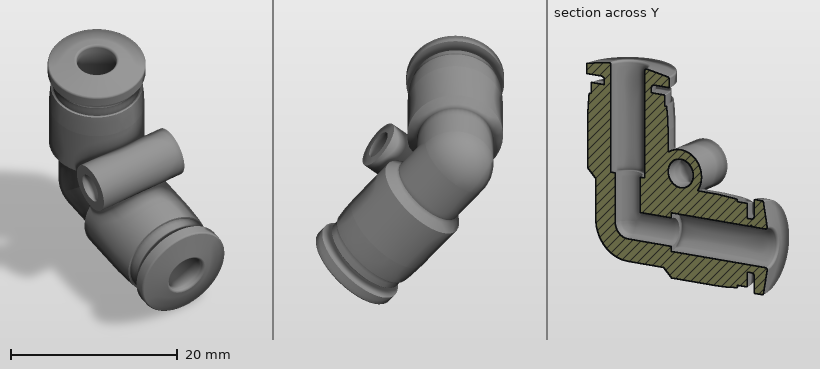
import cadquery as cq
import math

overall_length = 25.75
button_diameter = 11.8
arm_length = overall_length - button_diameter / 2

elbow_diameter = 9.22
sleeve_diameter = 11.5
shoulder_start = 5.07
shoulder_end = shoulder_start + (sleeve_diameter - elbow_diameter) / 2
taper_start = 12.65
taper_end = 15.6
taper_end_diameter = 11.07
ring_diameter = 10.5
ring_end = 17.0
ring_chamfer = 0.08

neck_diameter = 6.77
neck_fillet = 0.35
button_start = 17.95
button_edge_start = 19.08
button_edge_end = 19.3
button_edge_inset = 0.15
mouth_diameter = 5.35

tube_diameter = 4.76
tube_stop = shoulder_end
bore_diameter = 3.5

eye_diameter = 6.0
eye_hole_diameter = 3.5
eye_offset = 7.52
web_width = 4.69


def both_arms(vertical):
    """Join a shape on the Z axis with its mirror image on the X axis."""
    horizontal = vertical.rotate((0, 0, 0), (0, 1, 0), 90)
    return vertical.union(horizontal)


def arm_body():
    """Solid of revolution about Z, from the elbow centre to the button face."""
    elbow_r = elbow_diameter / 2
    sleeve_r = sleeve_diameter / 2
    ring_r = ring_diameter / 2
    neck_r = neck_diameter / 2
    button_r = button_diameter / 2
    mouth_r = mouth_diameter / 2
    fillet_reach = neck_fillet * (1 - math.sqrt(0.5))
    return (
        cq.Workplane("XZ")
        .lineTo(elbow_r, 0)
        .lineTo(elbow_r, shoulder_start)
        .lineTo(sleeve_r, shoulder_end)
        .lineTo(sleeve_r, taper_start)
        .tangentArcPoint((taper_end_diameter / 2, taper_end), relative=False)
        .lineTo(ring_r, taper_end)
        .lineTo(ring_r, ring_end - ring_chamfer)
        .lineTo(ring_r - ring_chamfer, ring_end)
        .lineTo(neck_r, ring_end)
        .lineTo(neck_r, button_start - neck_fillet)
        .threePointArc(
            (neck_r + fillet_reach, button_start - fillet_reach),
            (neck_r + neck_fillet, button_start),
        )
        .lineTo(button_r, button_start)
        .lineTo(button_r, button_edge_start)
        .tangentArcPoint((button_r - button_edge_inset, button_edge_end), relative=False)
        .lineTo(mouth_r, arm_length)
        .lineTo(0, arm_length)
        .close()
        .revolve(360, (0, 0, 0), (0, 1, 0))
    )


def arm_passage():
    """Stepped bore about Z with a rounded mouth."""
    bore_r = bore_diameter / 2
    tube_r = tube_diameter / 2
    mouth_r = mouth_diameter / 2
    mouth_round = mouth_r - tube_r
    return (
        cq.Workplane("XZ")
        .lineTo(bore_r, 0)
        .lineTo(bore_r, tube_stop)
        .lineTo(tube_r, tube_stop)
        .lineTo(tube_r, arm_length - mouth_round)
        .tangentArcPoint((mouth_r, arm_length), relative=False)
        .lineTo(0, arm_length)
        .close()
        .revolve(360, (0, 0, 0), (0, 1, 0))
    )


def eye_cylinder(diameter):
    """Cylinder along Y, centred on the mounting eye."""
    return (
        cq.Workplane("XZ", origin=(eye_offset, sleeve_diameter / 2, eye_offset))
        .circle(diameter / 2)
        .extrude(sleeve_diameter)
    )


def web():
    """Block filling the inside corner between the arms up to the eye axis."""
    return cq.Workplane("XY").box(eye_offset, web_width, eye_offset, centered=(False, True, False))


body = both_arms(arm_body()).union(cq.Workplane("XY").sphere(elbow_diameter / 2))
body = body.union(web()).union(eye_cylinder(eye_diameter))

passage = both_arms(arm_passage()).union(cq.Workplane("XY").sphere(bore_diameter / 2))
result = body.cut(passage).cut(eye_cylinder(eye_hole_diameter))